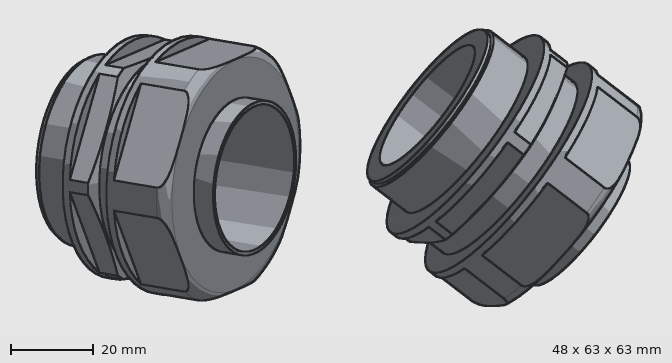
import cadquery as cq

bore_dia = 36.0

lip_dia = 45.5
lip_end = 1.0
shoulder_length = 0.3
spigot_dia = 47.0

body_start = 12.0
flange_width = 2.0
body_dia = 59.5
body_across_flats = 53.0
body_end = 20.05
body_chamfer_length = 0.8
body_face_dia = 52.55

neck_dia = 52.0

nut_start = 25.5
nut_dia = 63.0
nut_across_flats = 57.95
nut_end = 42.5
nut_round = 2.7

sleeve_dia = 37.8
total_length = 48.0

FLAT_COUNT = 6


def cylinder(start, end, diameter):
    """Solid cylinder along X from start to end."""
    return cq.Workplane("YZ").workplane(offset=start).circle(diameter / 2).extrude(end - start)


def cut_flats(blank, start, end, across_flats):
    """Trim a round blank to a hexagon with two flats facing +Z and -Z."""
    flat_distance = across_flats / 2
    blank_size = nut_dia
    for index in range(FLAT_COUNT):
        cutter = (
            cq.Workplane("XY")
            .box(end - start, blank_size, blank_size, centered=(False, True, False))
            .translate((start, 0, flat_distance))
            .rotate((0, 0, 0), (1, 0, 0), index * 360 / FLAT_COUNT)
        )
        blank = blank.cut(cutter)
    return blank


def make_spigot():
    lip = cylinder(0, lip_end, lip_dia)
    shoulder_height = (spigot_dia - lip_dia) / 2
    barrel = (
        cylinder(lip_end, body_start, spigot_dia)
        .faces("<X")
        .edges()
        .chamfer(shoulder_length, shoulder_height)
    )
    return lip.union(barrel)


def make_body_hexagon():
    blank = cylinder(body_start, body_end, body_dia)
    chamfer_depth = (body_dia - body_face_dia) / 2
    blank = blank.faces(">X").edges().chamfer(body_chamfer_length, chamfer_depth)
    return cut_flats(blank, body_start + flange_width, body_end, body_across_flats)


def make_nut():
    blank = cylinder(nut_start, nut_end, nut_dia).faces(">X").edges().fillet(nut_round)
    return cut_flats(blank, nut_start + flange_width, nut_end, nut_across_flats)


neck = cylinder(body_end, nut_start, neck_dia)
sleeve = cylinder(nut_end, total_length, sleeve_dia)
bore = cylinder(0, total_length, bore_dia)

result = make_spigot().union(make_body_hexagon()).union(neck).union(make_nut()).union(sleeve).cut(bore)